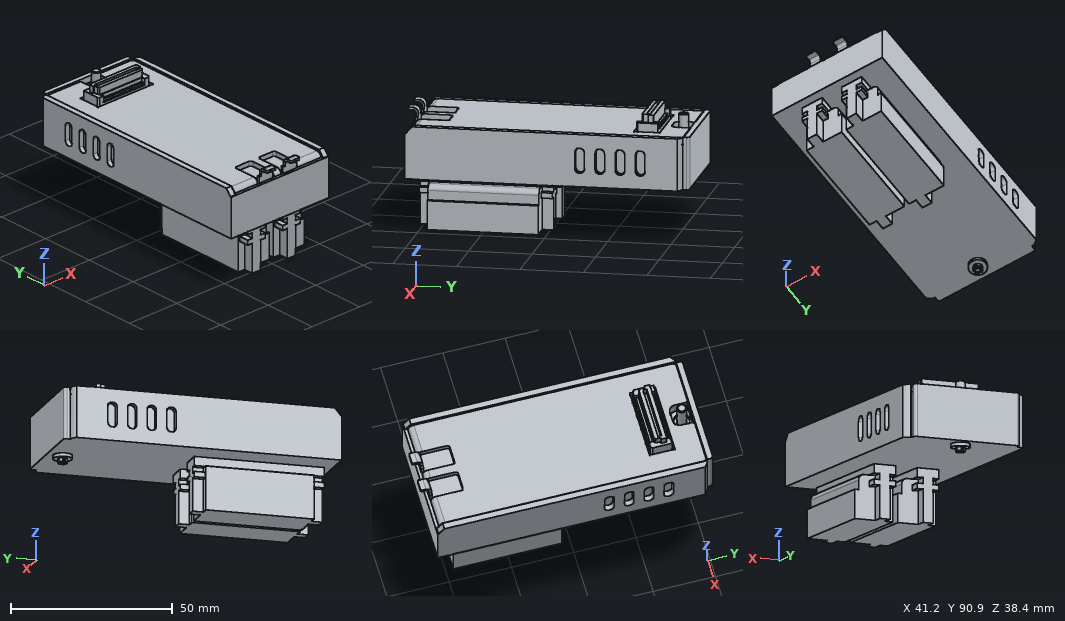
import cadquery as cq


overall_length = 90.9
overall_width = 41.2
half_width = overall_width / 2
side_end_y = 85.9
wall_end_y = 87.3
back_y = 89.3
rim_height = 16.7
deck_height = 14.5
rim_width = 2.2
rim_inner_x = half_width - rim_width
back_wall_half_width = 18.1
back_corner_radius = 0.9
side_end_radius = 4.55
front_lip = 0.3
rim_bevel_length = 1.9

lid_gap = 0.2
lid_half_width = rim_inner_x - lid_gap
lid_front_y = 1.1
lid_back_y = wall_end_y - lid_gap
lid_height = 16.2
lid_front_radius = 1.9
lid_corner_chamfer = 0.6

slot_width = 3.0
slot_length = 8.0
slot_depth = 1.8
slot_count = 4
slot_pitch = 6.4
first_slot_y = 55.2
slot_middle_z = 8.4

window_x = 4.9
window_width = 6.9
window_back_y = 11.7
window_radius = 0.9
tab_x = 5.0
tab_root_width = 5.8
tab_width = 3.8
tab_thickness = 0.8
tab_back_y = 1.8
tab_tip_y = back_y - overall_length
tab_top = 19.5
tab_bend_radius = 1.8
tab_tip_radius = 0.55

screw_y = 84.1
screw_diameter = 3.0
screw_top = 19.9
screw_bottom = -2.55
screw_chamfer = 0.3
drive_slot_width = 0.7
drive_slot_depth = 1.3
drive_core_diameter = 1.55
clearance_diameter = 5.0
clearance_depth = 0.9
washer_diameter = 6.0
washer_thickness = 1.1
notch_half_width = 3.7
notch_front_y = 80.7
notch_radius = 2.2
notch_flare = 0.7
notch_floor = 12.3

connector_window_width = 23.2
connector_window_front_y = 70.55
connector_window_back_y = 78.7
base_half_width = 10.8
base_front_y = 71.2
base_back_y = 78.0
base_top = 18.8
base_corner_chamfer = 0.55
contact_bed_top = 17.4
base_ledge_top = 16.6
base_ledge_width = 0.55
contact_half_width = 8.6
core_top = 21.3
core_back_y = 76.6
core_step_y = 74.7
core_front_y = 72.7
core_ledge_y = 72.55
core_ledge_top = 18.7
core_back_half_width = 9.9
core_front_half_width = 9.4
core_corner_chamfer = 0.5
core_slot_width = 1.2
core_slot_y = 74.6

plug_count = 2
plug_pitch = 14.7
first_plug_x = -7.4
header_width = 7.5
header_front_y = 2.7
header_back_y = 44.8
plug_end_inset = 3.55
plug_top = -2.9
plug_bottom = -17.1
plug_left = -4.4
plug_shoulder = 7.4
plug_right = 8.6
plug_shoulder_z = -7.8
plug_shoulder_radius = 1.8
rib_width = 3.5
arm_top = -4.8
arm_bottom = -6.55


def block(x0, x1, y0, y1, z0, z1):
    """Box between two corners."""
    return cq.Workplane("XY").box(x1 - x0, y1 - y0, z1 - z0, centered=False).translate((x0, y0, z0))


def cylinder(diameter, z0, z1):
    """Upright cylinder on the screw axis."""
    return cq.Workplane("XY", origin=(0, screw_y, z0)).circle(diameter / 2).extrude(z1 - z0)


def shell():
    """Solid block with a raised rim along its sides and back and rounded side wall ends."""
    body = (
        cq.Workplane("XY")
        .moveTo(-half_width, 0)
        .lineTo(half_width, 0)
        .lineTo(half_width, side_end_y)
        .radiusArc((rim_inner_x, wall_end_y), -side_end_radius)
        .lineTo(-rim_inner_x, wall_end_y)
        .radiusArc((-half_width, side_end_y), -side_end_radius)
        .close()
        .extrude(rim_height)
    )
    back_wall = block(-back_wall_half_width, back_wall_half_width, wall_end_y, back_y, 0, rim_height)
    back_wall = back_wall.edges("|Z and >Y").fillet(back_corner_radius)
    well = block(-rim_inner_x, rim_inner_x, 0, wall_end_y, deck_height, rim_height)
    bevel = (
        cq.Workplane("YZ", origin=(-half_width, 0, 0))
        .moveTo(0, deck_height)
        .lineTo(front_lip, deck_height)
        .lineTo(front_lip + rim_bevel_length, rim_height)
        .lineTo(0, rim_height)
        .close()
        .extrude(2 * half_width)
    )
    return body.union(back_wall).cut(well).cut(bevel)


def lid():
    """Plate with a rounded front edge, opened for the tabs and the connector."""
    outline = block(-lid_half_width, lid_half_width, lid_front_y, lid_back_y, deck_height, lid_height)
    outline = outline.edges("|Z and >Y").chamfer(lid_corner_chamfer)
    rounding = (
        cq.Workplane("YZ", origin=(-lid_half_width, 0, 0))
        .center(lid_front_y + lid_front_radius, lid_height - lid_front_radius)
        .circle(lid_front_radius)
        .extrude(2 * lid_half_width)
    )
    front_strip = block(-lid_half_width, lid_half_width, lid_front_y, lid_front_y + lid_front_radius,
                        deck_height, lid_height)
    plate = outline.cut(front_strip.cut(rounding))
    for side in (-1, 1):
        middle = side * window_x
        window = block(middle - window_width / 2, middle + window_width / 2, 0, window_back_y,
                       deck_height, lid_height)
        plate = plate.cut(window.edges("|Z and >Y").fillet(window_radius))
    connector_window = block(-connector_window_width / 2, connector_window_width / 2,
                             connector_window_front_y, connector_window_back_y, deck_height, lid_height)
    return plate.cut(connector_window)


def screw_notch():
    """Cutter for the round-cornered notch at the screw, flared where it meets the gap at the back."""
    flare_start = lid_back_y - notch_flare
    half_mouth = notch_half_width + notch_flare
    return (
        cq.Workplane("XY", origin=(0, 0, notch_floor))
        .moveTo(-half_mouth, lid_back_y)
        .radiusArc((-notch_half_width, flare_start), notch_flare)
        .lineTo(-notch_half_width, notch_front_y + notch_radius)
        .radiusArc((notch_radius - notch_half_width, notch_front_y), -notch_radius)
        .lineTo(notch_half_width - notch_radius, notch_front_y)
        .radiusArc((notch_half_width, notch_front_y + notch_radius), -notch_radius)
        .lineTo(notch_half_width, flare_start)
        .radiusArc((half_mouth, lid_back_y), notch_flare)
        .close()
        .extrude(lid_height - notch_floor)
    )


def side_slots():
    """Cutters for the upright slots in both side walls."""
    centers = [(first_slot_y + i * slot_pitch, slot_middle_z) for i in range(slot_count)]
    cutters = cq.Workplane("XY")
    for x in (-half_width, half_width - slot_depth):
        row = (
            cq.Workplane("YZ", origin=(x, 0, 0))
            .pushPoints(centers)
            .slot2D(slot_length, slot_width, 90)
            .extrude(slot_depth)
        )
        cutters = cutters.add(row)
    return cutters.combine()


def hook_tab(middle):
    """Upright tab on the deck, bent forward over the front wall."""
    root = block(middle - tab_root_width / 2, middle + tab_root_width / 2, tab_back_y - tab_thickness,
                 tab_back_y, deck_height, rim_height)
    inner_radius = tab_bend_radius - tab_thickness
    hook = (
        cq.Workplane("YZ", origin=(middle - tab_width / 2, 0, 0))
        .moveTo(tab_back_y, deck_height)
        .lineTo(tab_back_y, tab_top - tab_bend_radius)
        .radiusArc((tab_back_y - tab_bend_radius, tab_top), -tab_bend_radius)
        .lineTo(tab_tip_y, tab_top)
        .lineTo(tab_tip_y, tab_top - tab_thickness)
        .lineTo(tab_back_y - tab_bend_radius, tab_top - tab_thickness)
        .radiusArc((tab_back_y - tab_thickness, tab_top - tab_bend_radius), inner_radius)
        .lineTo(tab_back_y - tab_thickness, deck_height)
        .close()
        .extrude(tab_width)
        .edges("|Z and <Y").fillet(tab_tip_radius)
    )
    return root.union(hook)


def screw():
    """Screw through the housing, with a washer below and four notches around its lower end."""
    shaft = cylinder(screw_diameter, screw_bottom, screw_top).faces("<Z or >Z").chamfer(screw_chamfer)
    reach = screw_diameter / 2
    slot_top = screw_bottom + drive_slot_depth
    half_slot = drive_slot_width / 2
    across = block(-reach, reach, screw_y - half_slot, screw_y + half_slot, screw_bottom, slot_top)
    along = block(-half_slot, half_slot, screw_y - reach, screw_y + reach, screw_bottom, slot_top)
    drive_core = cylinder(drive_core_diameter, screw_bottom, slot_top)
    washer = cylinder(washer_diameter, -washer_thickness, 0)
    return shaft.cut(across).cut(along).union(drive_core).union(washer)


def board_connector():
    """Connector with a base that steps down along both long sides and a slotted core."""
    base = block(-base_half_width, base_half_width, base_front_y, base_back_y, deck_height, base_top)
    base = base.edges("|Z and <Y").chamfer(base_corner_chamfer)
    bed_opening = block(-contact_half_width, contact_half_width, base_front_y, base_back_y,
                        contact_bed_top, base_top)
    base = base.cut(bed_opening)
    for ledge_y in (base_front_y, base_back_y - base_ledge_width):
        ledge_opening = block(-contact_half_width, contact_half_width, ledge_y, ledge_y + base_ledge_width,
                              base_ledge_top, base_top)
        base = base.cut(ledge_opening)
    core_back = block(-core_back_half_width, core_back_half_width, core_step_y, core_back_y,
                      deck_height, core_top)
    core_front = block(-core_front_half_width, core_front_half_width, core_front_y, core_step_y,
                       deck_height, core_top)
    core = (
        core_back.edges("|Z and >Y").chamfer(core_corner_chamfer / 2)
        .union(core_front.edges("|Z and <Y").chamfer(core_corner_chamfer))
    )
    core_ledge = block(-contact_half_width, contact_half_width, core_ledge_y, core_front_y,
                       deck_height, core_ledge_top)
    contact_slot = block(-contact_half_width, contact_half_width, core_slot_y - core_slot_width / 2,
                         core_slot_y + core_slot_width / 2, base_top, core_top)
    return base.union(core).union(core_ledge).cut(contact_slot)


def make_housing():
    """Housing with its lid, slots, tabs, screw and board connector as one solid."""
    clearance = cylinder(clearance_diameter, notch_floor - clearance_depth, notch_floor)
    body = shell().union(lid()).cut(side_slots()).cut(screw_notch()).cut(clearance)
    for side in (-1, 1):
        body = body.union(hook_tab(side * tab_x))
    return body.union(screw()).union(board_connector())


def make_plug(middle):
    """Terminal plug: shouldered body held between the ribs and arms of its header."""
    header = block(-header_width / 2, header_width / 2, header_front_y, header_back_y, plug_top, 0)
    rib = block(-rib_width / 2, rib_width / 2, header_front_y, header_back_y, plug_bottom, plug_top)
    arms = block(-header_width / 2, header_width / 2, header_front_y, header_back_y, arm_bottom, arm_top)
    shoulder_start = plug_shoulder - plug_shoulder_radius
    body = (
        cq.Workplane("XZ", origin=(0, header_back_y - plug_end_inset, 0))
        .moveTo(plug_left, plug_top)
        .lineTo(shoulder_start, plug_top)
        .radiusArc((plug_shoulder, plug_top - plug_shoulder_radius), plug_shoulder_radius)
        .lineTo(plug_shoulder, plug_shoulder_z)
        .lineTo(plug_right, plug_shoulder_z)
        .lineTo(plug_right, plug_bottom)
        .lineTo(plug_left, plug_bottom)
        .close()
        .extrude(header_back_y - header_front_y - 2 * plug_end_inset)
    )
    return header.union(rib).union(arms).union(body).translate((middle, 0, 0))


housing = make_housing()
plugs = [make_plug(first_plug_x + i * plug_pitch) for i in range(plug_count)]

result = cq.Compound.makeCompound([housing.val(), *[plug.val() for plug in plugs]])